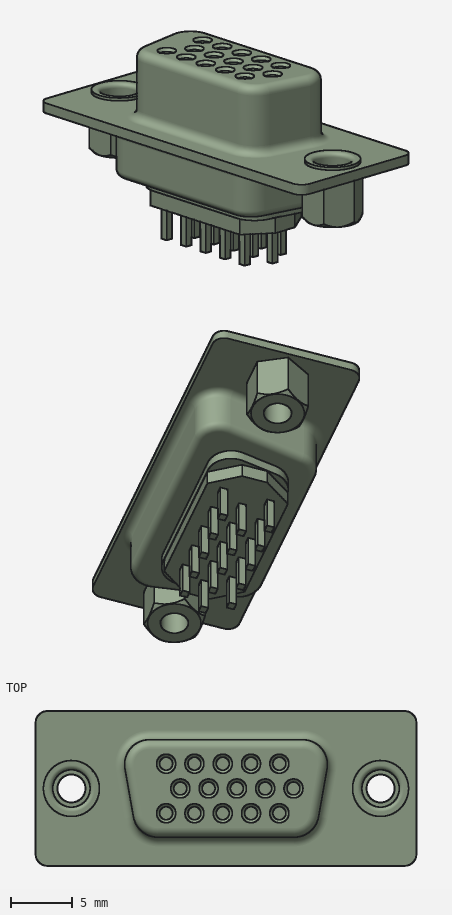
import cadquery as cq
import math

plate_length = 30.8
plate_width = 12.55
plate_thickness = 0.85
plate_corner_radius = 1.0

side_angle = 10.0
d_corner_radius = 2.0
shell_width = 15.77
shell_depth = 7.9
shell_height = 5.8
shell_edge_radius = 0.75
housing_width = 18.12
housing_depth = 10.7
housing_bottom = -4.9
housing_edge_radius = 0.62
collar_width = 14.35
collar_depth = 6.95
collar_bottom = -5.82

insulator_width = 13.85
insulator_depth = 6.9
insulator_front_flat = 10.48
insulator_side_flat = 2.15
insulator_bottom = -7.15

contacts_per_row = 5
row_length = 9.15
row_spacing = 2.0
contact_pitch = row_length / (contacts_per_row - 1)
contact_field_offset = 0.3
socket_diameter = 1.05
socket_chamfer = 0.25
socket_depth = shell_height
pin_size = 0.62
pin_bottom = -10.2

mount_spacing = 25.0
rim_diameter = 4.53
rim_height = 0.25
eyelet_bore = 3.02
eyelet_lip_radius = 0.37
hex_across_corners = 5.05
hex_end_diameter = 4.3
standoff_bore = 2.25


def d_block(width, depth, bottom, top):
    """Prism with a rounded trapezoid outline, wider towards +Y."""
    half_depth = depth / 2
    lean = half_depth * math.tan(math.radians(side_angle))
    wide = width / 2 + lean
    narrow = width / 2 - lean
    corners = [
        (-narrow, -half_depth),
        (narrow, -half_depth),
        (wide, half_depth),
        (-wide, half_depth),
    ]
    block = cq.Workplane("XY").workplane(offset=bottom).polyline(corners).close().extrude(top - bottom)
    return block.edges("|Z").fillet(d_corner_radius)


def plane_edges(z, length, width):
    """Selector for edges at height z whose centres lie inside a length x width rectangle."""
    margin = 0.03
    return cq.selectors.BoxSelector(
        (-length / 2, -width / 2, z - margin),
        (length / 2, width / 2, z + margin),
    )


def flanged_shell():
    """Plate with the plug shell above and the wider housing below, all edges blended."""
    plate = (
        cq.Workplane("XY")
        .box(plate_length, plate_width, plate_thickness, centered=(True, True, False))
        .translate((0, 0, -plate_thickness))
        .edges("|Z")
        .fillet(plate_corner_radius)
    )
    shell = d_block(shell_width, shell_depth, -plate_thickness, shell_height)
    shell = shell.faces(">Z").edges().fillet(shell_edge_radius)
    housing = d_block(housing_width, housing_depth, housing_bottom, -plate_thickness)
    housing = housing.faces("<Z").edges().fillet(housing_edge_radius)
    body = plate.union(shell).union(housing)

    inner_length = mount_spacing
    inner_width = plate_width - plate_thickness
    shell_root = plane_edges(0, inner_length, inner_width)
    housing_root = plane_edges(-plate_thickness, inner_length, inner_width)
    body = body.edges(shell_root).fillet(shell_edge_radius)
    return body.edges(housing_root).fillet(housing_edge_radius)


def insulator():
    """Collar and the chamfered rectangular block that carries the pins."""
    collar = d_block(collar_width, collar_depth, collar_bottom, housing_bottom)
    x_side = insulator_width / 2
    x_front = insulator_front_flat / 2
    y_front = insulator_depth / 2
    y_side = insulator_side_flat / 2
    outline = [
        (-x_side, -y_side),
        (-x_front, -y_front),
        (x_front, -y_front),
        (x_side, -y_side),
        (x_side, y_side),
        (x_front, y_front),
        (-x_front, y_front),
        (-x_side, y_side),
    ]
    block = (
        cq.Workplane("XY")
        .workplane(offset=insulator_bottom)
        .polyline(outline)
        .close()
        .extrude(collar_bottom - insulator_bottom)
    )
    return collar.union(block)


def contact_points():
    """Plan positions of all contacts."""
    points = []
    for row in (-1, 0, 1):
        stagger = contact_pitch / 4 if row == 0 else -contact_pitch / 4
        for column in range(contacts_per_row):
            x = column * contact_pitch - row_length / 2
            points.append((x + stagger + contact_field_offset, row * row_spacing))
    return points


def pins():
    """Square pins hanging from the underside of the insulator."""
    return (
        cq.Workplane("XY")
        .workplane(offset=pin_bottom)
        .pushPoints(contact_points())
        .rect(pin_size, pin_size)
        .extrude(insulator_bottom - pin_bottom)
    )


def socket_cutter():
    """One blind contact hole with a conical lead-in, its mouth at the shell top."""
    radius = socket_diameter / 2
    profile = [
        (0, shell_height),
        (radius + socket_chamfer, shell_height),
        (radius, shell_height - socket_chamfer),
        (radius, shell_height - socket_depth),
        (0, shell_height - socket_depth),
    ]
    return cq.Workplane("XZ").polyline(profile).close().revolve(360, (0, 0), (0, 1))


def standoff():
    """Hexagonal standoff with corners on the X axis and a turned lower end."""
    height = -plate_thickness - housing_bottom
    base = cq.Workplane("XY").workplane(offset=housing_bottom)
    end_chamfer = (hex_across_corners - hex_end_diameter) / 2
    turned = base.circle(hex_across_corners / 2).extrude(height).faces("<Z").chamfer(end_chamfer)
    return base.polygon(6, hex_across_corners).extrude(height).intersect(turned)


def mount_cutter():
    """Stepped bore: standoff bore below, eyelet bore with rounded lip above."""
    bore = eyelet_bore / 2
    lip = bore + eyelet_lip_radius
    lip_start = rim_height - eyelet_lip_radius
    arc_offset = eyelet_lip_radius * math.sqrt(0.5)
    return (
        cq.Workplane("XZ")
        .moveTo(0, housing_bottom)
        .lineTo(standoff_bore / 2, housing_bottom)
        .lineTo(standoff_bore / 2, -plate_thickness)
        .lineTo(bore, -plate_thickness)
        .lineTo(bore, lip_start)
        .threePointArc((lip - arc_offset, lip_start + arc_offset), (lip, rim_height))
        .lineTo(0, rim_height)
        .close()
        .revolve(360, (0, 0), (0, 1))
    )


def add_mounts(body):
    """Fuse an eyelet rim and a standoff at each end, then bore through both."""
    rim = cq.Workplane("XY").circle(rim_diameter / 2).extrude(rim_height)
    for x in (-mount_spacing / 2, mount_spacing / 2):
        body = body.union(rim.translate((x, 0, 0)))
        body = body.union(standoff().translate((x, 0, 0)))
        body = body.cut(mount_cutter().translate((x, 0, 0)))
    return body


result = flanged_shell().union(insulator()).union(pins())
result = add_mounts(result)
for contact_x, contact_y in contact_points():
    result = result.cut(socket_cutter().translate((contact_x, contact_y, 0)))